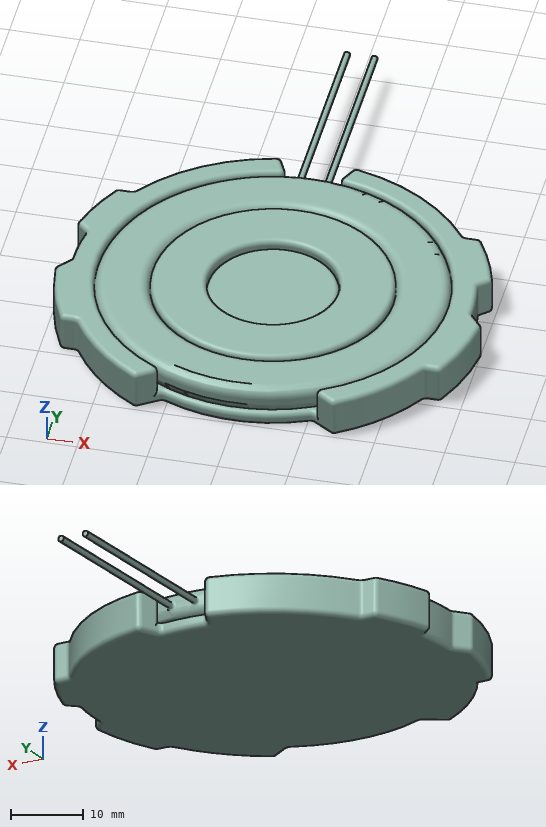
import cadquery as cq
import math

HEIGHT = 6.0
TOTAL_LENGTH = 79.75

BASE_TOP = 2.0
LOBE_R = 30.4
RIM_R = 28.4
EDGE_ROUND = 0.8

COIL_R = 24.8
COIL_ROUND = 1.5
CORE_R = 34.05 / 2

LEAD_R = 0.9 / 2
LEAD_PITCH = 3.9
LEAD_ROOT_ROUND = 0.3

MAGNET_R = 18.4 / 2
MAGNET_TOP = 4.95

BACK_END_INNER_X = 3.7
BACK_END_OUTER_X = 5.3
UPPER_STEP_Y = 16.0
NOTCH_UPPER_OUTER_Y = 7.3
NOTCH_UPPER_INNER_Y = 5.8
NOTCH_LOWER_INNER_Y = -0.6
NOTCH_LOWER_OUTER_Y = -2.95
LOWER_STEP_Y = -14.0
FRONT_END_OUTER_X = 14.0
FRONT_END_INNER_X = 10.6


def at_y(radius, y):
    """Point on the +X half of a circle about the axis, at the given y."""
    return (math.sqrt(radius ** 2 - y ** 2), y)


def at_x(radius, x, side):
    """Point on a circle about the axis, at the given x; side is +1 for the back, -1 for the front."""
    return (x, side * math.sqrt(radius ** 2 - x ** 2))


def arc_about_axis(outline, start, end):
    """Continue an outline straight to start, then along a circle about the axis to end."""
    radius = math.hypot(*start)
    angle = (math.atan2(start[1], start[0]) + math.atan2(end[1], end[0])) / 2
    middle = (radius * math.cos(angle), radius * math.sin(angle))
    return outline.lineTo(*start).threePointArc(middle, end)


def make_cylinder(radius, bottom, top):
    return cq.Workplane("XY").workplane(offset=bottom).circle(radius).extrude(top - bottom)


def make_flange_block(bottom, top):
    """Sharp-edged flange on the +X side."""
    back_inner = at_x(COIL_R, BACK_END_INNER_X, 1)
    front_inner = at_x(COIL_R, FRONT_END_INNER_X, -1)
    outer_arcs = [
        (at_x(RIM_R, BACK_END_OUTER_X, 1), at_y(RIM_R, UPPER_STEP_Y)),
        (at_y(LOBE_R, UPPER_STEP_Y), at_y(LOBE_R, NOTCH_UPPER_OUTER_Y)),
        (at_y(RIM_R, NOTCH_UPPER_INNER_Y), at_y(RIM_R, NOTCH_LOWER_INNER_Y)),
        (at_y(LOBE_R, NOTCH_LOWER_OUTER_Y), at_y(LOBE_R, LOWER_STEP_Y)),
        (at_y(RIM_R, LOWER_STEP_Y), at_x(RIM_R, FRONT_END_OUTER_X, -1)),
    ]
    outline = cq.Workplane("XY").workplane(offset=bottom).moveTo(*back_inner)
    for start, end in outer_arcs:
        outline = arc_about_axis(outline, start, end)
    outline = arc_about_axis(outline, front_inner, back_inner)
    return outline.close().extrude(top - bottom)


def make_base():
    """Plate under everything, rounded all around; its top edge shows as a bead in the two openings."""
    block = make_flange_block(0, BASE_TOP)
    base = make_cylinder(COIL_R, 0, BASE_TOP).union(block).union(block.mirror("YZ"))
    base = base.edges("|Z").fillet(EDGE_ROUND)
    return base.faces("<Z or >Z").edges().fillet(EDGE_ROUND)


def make_flange():
    """Flange on the +X side, rising from where the rounded top edge of the base begins."""
    flange = make_flange_block(BASE_TOP - EDGE_ROUND, HEIGHT)
    flange = flange.edges("|Z").fillet(EDGE_ROUND)
    return flange.faces(">Z").edges().fillet(EDGE_ROUND)


def make_core():
    """Round core with a recess for the magnet, both top edges rounded."""
    core = make_cylinder(CORE_R, BASE_TOP, HEIGHT)
    core = core.cut(make_cylinder(MAGNET_R, BASE_TOP, HEIGHT))
    return core.faces(">Z").edges().fillet(EDGE_ROUND)


def make_tray():
    flange = make_flange()
    return make_base().union(flange).union(flange.mirror("YZ")).union(make_core())


def make_lead(x, start_y):
    """Wire along +Y at mid-height of the coil, from start_y to the tip."""
    length = TOTAL_LENGTH - COIL_R - start_y
    middle_z = (BASE_TOP + HEIGHT) / 2
    return cq.Workplane("XZ", origin=(x, start_y, middle_z)).circle(LEAD_R).extrude(-length)


def make_coil():
    """Ring with rounded edges and two leads that grow out of its back side."""
    ring = make_cylinder(COIL_R, BASE_TOP, HEIGHT)
    ring = ring.cut(make_cylinder(CORE_R, BASE_TOP, HEIGHT))
    coil = ring.faces("<Z or >Z").edges().fillet(COIL_ROUND)

    inside_ring_y = (CORE_R + COIL_R) / 2
    for x in (-LEAD_PITCH / 2, LEAD_PITCH / 2):
        coil = coil.union(make_lead(x, inside_ring_y))

    root_box = cq.selectors.BoxSelector(
        (-LEAD_PITCH, COIL_R - LEAD_R, BASE_TOP), (LEAD_PITCH, COIL_R + LEAD_R, HEIGHT), boundingbox=True)
    return coil.edges(root_box).fillet(LEAD_ROOT_ROUND)


def make_magnet():
    return make_cylinder(MAGNET_R, BASE_TOP, MAGNET_TOP).faces(">Z").edges().fillet(EDGE_ROUND)


tray = make_tray()
coil = make_coil()
magnet = make_magnet()

result = cq.Compound.makeCompound([body.solids().val() for body in (tray, coil, magnet)])